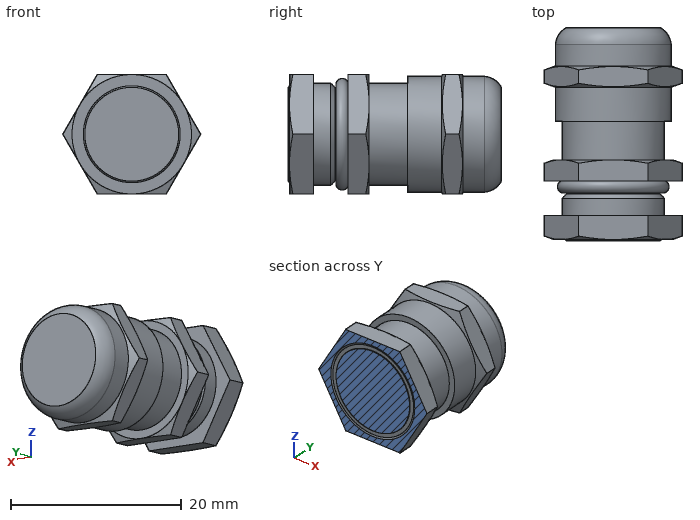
import cadquery as cq
import math


hexagon_sides = 6
across_flats = 14.0
across_corners = across_flats / math.cos(math.pi / hexagon_sides)
bevel_angle = 20.0

full_turn = 360.0

locknut_start = 0.175
locknut_end = 3.0
thread_end = 5.5
flange_start = 7.0
flange_end = 9.5
cap_start = 14.0
cap_hex_start = 18.0
cap_hex_end = 20.5
dome_start = 23.0
overall_length = 25.0

thread_diameter = 12.0
neck_diameter = 11.0
thread_chamfer = (thread_diameter - neck_diameter) / 2
cap_diameter = 13.6
dome_end_diameter = 11.0
dome_arc_radius = 2.5
seal_section_diameter = 1.5
seal_outer_diameter = 13.1
seal_seat_diameter = seal_outer_diameter
seal_seat_depth = (seal_seat_diameter - thread_diameter) / 2 * math.tan(math.radians(bevel_angle))
seal_centre_station = 6.35


def shaft(start, end, diameter):
    """Cylinder along +Y between two stations."""
    plane = cq.Workplane("XZ", origin=(0, start, 0))
    return plane.circle(diameter / 2).extrude(start - end)


def revolve_about_axis(profile):
    """Full turn of an XY profile about the Y axis."""
    return profile.revolve(full_turn, (0, 0, 0), (0, 1, 0))


def hexagon(start, end, bevel_start, bevel_end, bevel_diameter=across_flats):
    """Hexagonal prism with corners on X, its corners bevelled conically at the chosen ends."""
    plane = cq.Workplane("XZ", origin=(0, start, 0))
    prism = plane.polygon(hexagon_sides, across_corners).extrude(start - end)
    bevel_radius = bevel_diameter / 2
    corner_radius = across_corners / 2
    corner_bevel = (corner_radius - bevel_radius) * math.tan(math.radians(bevel_angle))
    outline = [(0, start)]
    if bevel_start:
        outline += [(bevel_radius, start), (corner_radius, start + corner_bevel)]
    else:
        outline += [(corner_radius, start)]
    if bevel_end:
        outline += [(corner_radius, end - corner_bevel), (bevel_radius, end)]
    else:
        outline += [(corner_radius, end)]
    outline += [(0, end)]
    return prism.intersect(revolve_about_axis(cq.Workplane("XY").polyline(outline).close()))


def threaded_end():
    """Plain cylinder at the thread diameter, chamfered at both ends."""
    return shaft(0, thread_end, thread_diameter).faces("<Y or >Y").chamfer(thread_chamfer)


def flange():
    """Flange with a shallow conical seat for the sealing ring in its low-Y face."""
    seat_edge = (seal_seat_diameter / 2, flange_start)
    seat_root = (thread_diameter / 2, flange_start + seal_seat_depth)
    outline = [(0, flange_start), seat_edge, seat_root, (0, flange_start + seal_seat_depth)]
    seat = revolve_about_axis(cq.Workplane("XY").polyline(outline).close())
    return hexagon(flange_start, flange_end, False, True).cut(seat)


def sealing_ring():
    """O-ring nested in the conical seat of the flange."""
    section_radius = seal_section_diameter / 2
    centre_radius = seal_outer_diameter / 2 - section_radius
    section = cq.Workplane("XY").moveTo(-centre_radius, seal_centre_station).circle(section_radius)
    return revolve_about_axis(section)


def cap():
    """Cap sleeve closed by a rounded dome."""
    profile = (
        cq.Workplane("XY")
        .moveTo(0, cap_start)
        .lineTo(cap_diameter / 2, cap_start)
        .lineTo(cap_diameter / 2, dome_start)
        .radiusArc((dome_end_diameter / 2, overall_length), -dome_arc_radius)
        .lineTo(0, overall_length)
        .close()
    )
    return revolve_about_axis(profile)


result = (
    threaded_end()
    .union(shaft(thread_end, flange_start + seal_seat_depth, neck_diameter))
    .union(shaft(flange_start + seal_seat_depth, cap_start, thread_diameter))
    .union(hexagon(locknut_start, locknut_end, True, False))
    .union(flange())
    .union(cap())
    .union(hexagon(cap_hex_start, cap_hex_end, True, True, cap_diameter))
    .union(sealing_ring())
)